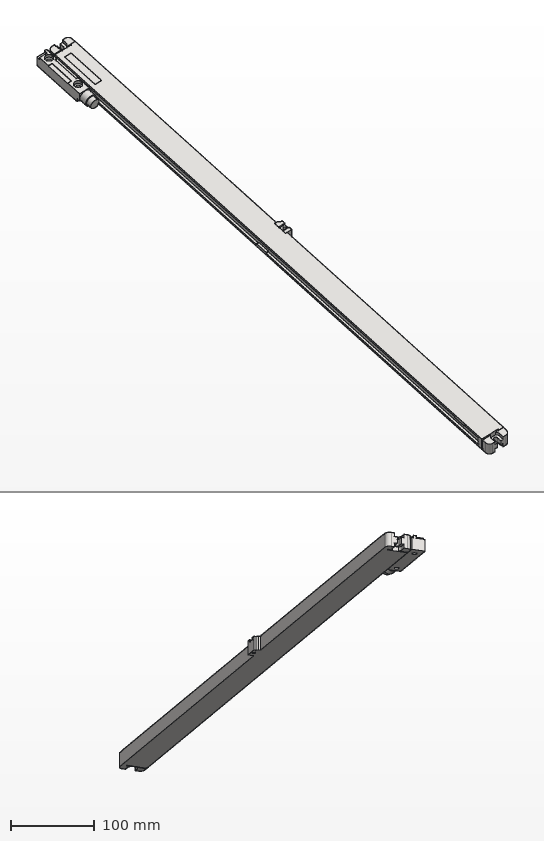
import cadquery as cq

LENGTH = 825.0
HEIGHT = 18.0
HOUSING_WIDTH = 32.0
HEAD_WIDTH = 17.0

CORNER_RADIUS = 6.0
CAP_LENGTH = 11.5
CAP_DROP = 0.4
SLIT_WIDTH = 2.0
SLIT_REACH = 25.5
SLOT_CENTER_X = 7.0
SLOT_WIDTH = 5.0
SLOT_POCKET_WIDTH = 12.0
SLOT_POCKET_DEPTH = 5.0

GROOVE_MARGIN = 20.0
GROOVE_DEPTH = 3.0
LIP_HEIGHT = 3.0
TAB_LENGTH = 18.0
TAB_HEIGHT = 2.0
LOWER_TAB_X = 399.0
UPPER_TAB_X = 770.0

LABEL_X = 23.0
LABEL_Y = 7.0
LABEL_LENGTH = 57.0
LABEL_WIDTH = 10.0
LABEL_DEPTH = 0.4

LUG_X = LOWER_TAB_X
LUG_REACH = 7.5
LUG_LENGTH = 18.0
LUG_FOOT = 2.5
LUG_SEAT = 2.5
LUG_DROP = 0.4
LUG_CHANNEL_WIDTH = 8.0
LUG_CHANNEL_DEPTH = 3.0
LUG_HOLE_DIAMETER = 4.0

HEAD_LENGTH = 80.0
HEAD_LEDGE_WIDTH = 2.5
HEAD_RELIEF_X = 19.0
HEAD_RELIEF_LENGTH = 40.0
HEAD_RELIEF_WIDTH = 5.0
HEAD_RELIEF_DEPTH = 3.0
HEAD_HOLES_X = (12.0, 67.0)
HEAD_HOLE_DIAMETER = 6.0
HEAD_BORE_DIAMETER = 11.0
HEAD_BORE_DEPTH = 5.0
FRONT_STEP_X = 21.5
FRONT_STEP_LENGTH = 36.0
FRONT_STEP_WIDTH = 6.0
FRONT_STEP_DEPTH = 1.0
CORNER_NOTCH_LENGTH = 5.0
CORNER_NOTCH_WIDTH = 11.5
CORNER_NOTCH_DEPTH = 3.0
FOOT_NOTCH_LENGTH = 5.0
FOOT_NOTCH_HEIGHT = 5.0

NUT_DIAMETER = 16.5
NUT_LENGTH = 11.0
STUB_DIAMETER = 13.0
STUB_LENGTH = 7.5

HOUSING_MID_Y = HOUSING_WIDTH / 2
HEAD_MID_Y = -HEAD_WIDTH / 2


def box(x, y, z, length, width, height):
    """Box given by its lowest corner and its sizes along X, Y and Z."""
    return cq.Workplane("XY").box(length, width, height, centered=False).translate((x, y, z))


def post(x, y, z, diameter, height):
    """Vertical cylinder standing on the given point."""
    return cq.Workplane("XY").circle(diameter / 2).extrude(height).translate((x, y, z))


def end_slot(width, z, height):
    """Slot that enters the left cap from its end and finishes in a half circle."""
    straight = box(0, HOUSING_MID_Y - width / 2, z, SLOT_CENTER_X, width, height)
    return straight.union(post(SLOT_CENTER_X, HOUSING_MID_Y, z, width, height))


def left_cap_cuts():
    """Everything removed at the left cap: lowered top, slit and screw slot with its pockets."""
    cuts = box(0, 0, HEIGHT - CAP_DROP, CAP_LENGTH, HOUSING_WIDTH, CAP_DROP)
    cuts = cuts.union(box(CAP_LENGTH, 0, 0, SLIT_WIDTH, SLIT_REACH, HEIGHT))
    cuts = cuts.union(end_slot(SLOT_WIDTH, 0, HEIGHT))
    for z in (0, HEIGHT - SLOT_POCKET_DEPTH):
        cuts = cuts.union(end_slot(SLOT_POCKET_WIDTH, z, SLOT_POCKET_DEPTH))
    return cuts


def front_groove():
    """Groove between the two lips of the front face, less the tabs that stand on the lips."""
    opening = HEIGHT - 2 * LIP_HEIGHT
    groove = box(GROOVE_MARGIN, 0, LIP_HEIGHT, LENGTH - 2 * GROOVE_MARGIN, GROOVE_DEPTH, opening)
    tabs = (
        (LOWER_TAB_X, LIP_HEIGHT),
        (UPPER_TAB_X, HEIGHT - LIP_HEIGHT - TAB_HEIGHT),
    )
    for x, z in tabs:
        groove = groove.cut(box(x - TAB_LENGTH / 2, 0, z, TAB_LENGTH, GROOVE_DEPTH, TAB_HEIGHT))
    return groove


def add_lug(body):
    """Rear lug with a foot on its left flank, a channel across its top and a through hole."""
    left = LUG_X - LUG_LENGTH / 2
    right = LUG_X + LUG_LENGTH / 2
    rear = HOUSING_WIDTH + LUG_REACH
    seat = HOUSING_WIDTH - LUG_SEAT
    outline = [
        (left - LUG_FOOT, HOUSING_WIDTH),
        (right, HOUSING_WIDTH),
        (right, rear),
        (left, rear),
        (left, HOUSING_WIDTH + 2 * LUG_FOOT),
        (left - LUG_FOOT, HOUSING_WIDTH + LUG_FOOT),
    ]
    body = body.union(cq.Workplane("XY").polyline(outline).close().extrude(HEIGHT))

    length = LUG_LENGTH + LUG_FOOT
    body = body.cut(box(left - LUG_FOOT, seat, HEIGHT - LUG_DROP, length, rear - seat, LUG_DROP))
    channel_x = LUG_X - LUG_CHANNEL_WIDTH / 2
    channel_z = HEIGHT - LUG_CHANNEL_DEPTH
    body = body.cut(box(channel_x, seat, channel_z, LUG_CHANNEL_WIDTH, rear - seat, LUG_CHANNEL_DEPTH))
    return body.cut(post(LUG_X, HOUSING_WIDTH + LUG_REACH / 2, 0, LUG_HOLE_DIAMETER, HEIGHT))


def make_housing():
    """Long profile with its two end caps, front groove, label recess and rear lug."""
    body = box(0, 0, 0, LENGTH, HOUSING_WIDTH, HEIGHT).edges("|Z").fillet(CORNER_RADIUS)
    cap_cuts = left_cap_cuts()
    body = body.cut(cap_cuts)
    body = body.cut(cap_cuts.mirror("YZ", (LENGTH / 2, 0, 0)))
    body = body.cut(front_groove())
    body = body.cut(box(LABEL_X, LABEL_Y, HEIGHT - LABEL_DEPTH, LABEL_LENGTH, LABEL_WIDTH, LABEL_DEPTH))
    return add_lug(body)


def cut_head_top(body):
    """Rear ledge and relief, front step and corner notch, all lowered from the head's top."""
    relief_z = HEIGHT - HEAD_RELIEF_DEPTH
    body = body.cut(box(0, -HEAD_LEDGE_WIDTH, relief_z, HEAD_LENGTH, HEAD_LEDGE_WIDTH, HEAD_RELIEF_DEPTH))
    relief_sizes = (HEAD_RELIEF_LENGTH, HEAD_RELIEF_WIDTH, HEAD_RELIEF_DEPTH)
    body = body.cut(box(HEAD_RELIEF_X, -HEAD_RELIEF_WIDTH, relief_z, *relief_sizes))
    step_z = HEIGHT - FRONT_STEP_DEPTH
    step_sizes = (FRONT_STEP_LENGTH, FRONT_STEP_WIDTH, FRONT_STEP_DEPTH)
    body = body.cut(box(FRONT_STEP_X, -HEAD_WIDTH, step_z, *step_sizes))
    notch_z = HEIGHT - CORNER_NOTCH_DEPTH
    notch_sizes = (CORNER_NOTCH_LENGTH, CORNER_NOTCH_WIDTH, CORNER_NOTCH_DEPTH)
    return body.cut(box(0, -HEAD_WIDTH, notch_z, *notch_sizes))


def add_connector(body):
    """Round nut and thinner cable stub on the right end of the head."""
    connector = (
        cq.Workplane("YZ", origin=(HEAD_LENGTH, HEAD_MID_Y, HEIGHT / 2))
        .circle(NUT_DIAMETER / 2)
        .extrude(NUT_LENGTH)
        .faces(">X")
        .workplane()
        .circle(STUB_DIAMETER / 2)
        .extrude(STUB_LENGTH)
    )
    return body.union(connector)


def make_head():
    """Read head in front of the housing's left end."""
    body = box(0, -HEAD_WIDTH, 0, HEAD_LENGTH, HEAD_WIDTH, HEIGHT)
    body = cut_head_top(body)
    for x in HEAD_HOLES_X:
        body = body.cut(post(x, HEAD_MID_Y, 0, HEAD_HOLE_DIAMETER, HEIGHT))
        body = body.cut(post(x, HEAD_MID_Y, HEIGHT - HEAD_BORE_DEPTH, HEAD_BORE_DIAMETER, HEAD_BORE_DEPTH))
    notch_x = HEAD_LENGTH - FOOT_NOTCH_LENGTH
    body = body.cut(box(notch_x, -HEAD_WIDTH, 0, FOOT_NOTCH_LENGTH, HEAD_WIDTH, FOOT_NOTCH_HEIGHT))
    return add_connector(body)


housing = make_housing()
head = make_head()
result = cq.Compound.makeCompound([housing.val(), head.val()])